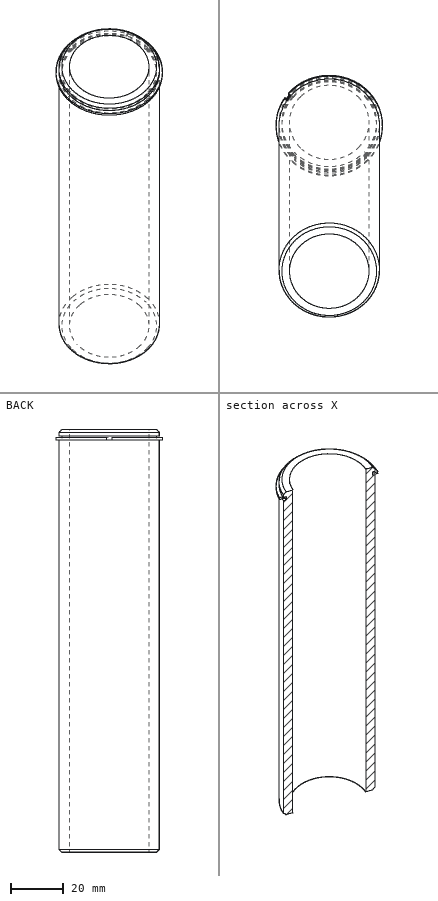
import cadquery as cq

length = 160.0
tube_radius = 19.0
bore_radius = 15.0
end_chamfer = 1.1

groove_radius = 18.0
groove_bottom = 156.0
groove_height = 1.5
ring_radius = 20.2
ring_thickness = 1.0
ring_gap = 2.2


def disc(radius, bottom, height):
    """Solid cylinder on the Z axis."""
    return cq.Workplane("XY").workplane(offset=bottom).circle(radius).extrude(height)


def annulus(outer_radius, inner_radius, bottom, height):
    """Flat ring around the Z axis."""
    return disc(outer_radius, bottom, height).cut(disc(inner_radius, bottom, height))


def make_tube():
    """Bored tube with chamfered outer rims and a ring groove."""
    body = disc(tube_radius, 0, length)
    body = body.faces("<Z or >Z").edges().chamfer(end_chamfer)

    groove = annulus(ring_radius, groove_radius, groove_bottom, groove_height)
    bore = disc(bore_radius, 0, length)
    return body.cut(groove).cut(bore)


def make_snap_ring():
    """Split ring on the groove floor, open toward +Y."""
    ring = annulus(ring_radius, groove_radius, groove_bottom, ring_thickness)
    gap = (
        cq.Workplane("XY")
        .workplane(offset=groove_bottom)
        .center(0, ring_radius / 2)
        .rect(ring_gap, ring_radius)
        .extrude(ring_thickness)
    )
    return ring.cut(gap)


tube = make_tube()
snap_ring = make_snap_ring()

result = cq.Compound.makeCompound([tube.val(), snap_ring.val()])